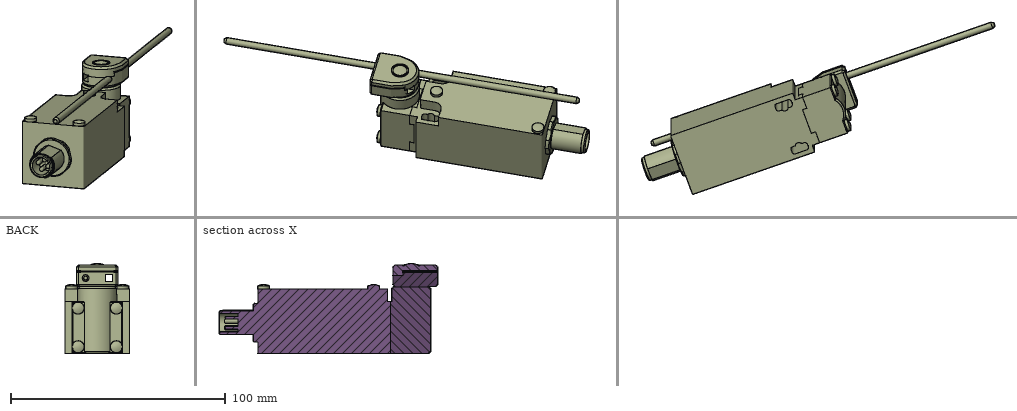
import cadquery as cq
import math


OVERALL_LENGTH = 175.1

HOUSING_WIDTH = 30.3
HOUSING_LENGTH = 60.5
HOUSING_HEIGHT = 30.1
HOUSING_EDGE_FILLET = 0.44
SHOULDER_HEIGHT = 24.3
NECK_WIDTH = 23.5
NECK_END = 64.3
TONGUE_WIDTH = 12.0
TONGUE_CORNER_RADIUS = 0.9
EAR_FRONT = 49.7
EAR_CORNER_RADIUS = 3.9

SLOT_X = 11.0
SLOT_Y = 54.6
SLOT_WIDTH = 3.7
SLOT_LENGTH = 8.0
SLOT_CORNER_RADIUS = 1.2
SLOT_LOBE_RADIUS = 1.8
SLOT_LOBE_X = 10.0

SCREW_RADIUS = 2.8
SCREW_RIM_HEIGHT = 1.4
SCREW_DOME_HEIGHT = 0.7
COVER_SCREW_X = 11.9
COVER_SCREW_FRONT_Y = 2.8
COVER_SCREW_REAR_Y = 54.1
HEAD_SCREW_X = 9.0
HEAD_SCREW_EDGE = 3.2

CONNECTOR_Z = 14.4
CONNECTOR_LENGTH = 18.0
CONNECTOR_TURN = 13
NUT_THICKNESS = 2.1
NUT_SIDES = 6
NUT_CORNER_ANGLE = 360 / NUT_SIDES
NUT_FLATS = 17.5
NUT_CORNER_RADIUS = 9.1
NUT_CHAMFER = 0.5
BARREL_RADIUS = 6.1
BARREL_LENGTH = 16.3
BARREL_FLATS = 10.5
TIP_RADIUS = 5.6
TIP_CHAMFER = 0.5
SOCKET_RADIUS = 4.2
SOCKET_DEPTH = 8.8
PIN_RADIUS = 1.0
PIN_ROUNDING = 0.7
PIN_LENGTH = 6.1
PIN_CIRCLE_RADIUS = 2.5
PIN_COUNT = 4

HEAD_BACK = 78.5
HEAD_BACK_CHAMFER = 0.5
AXIS_Y = 71.6
TURRET_RADIUS = 9.1
TURRET_TOP = 31.2
TURRET_CHAMFER = 0.9
KEY_DEPTH = 2.1
SIDE_KEY_BOTTOM = 6.1
SIDE_KEY_TOP = 18.4

CLAMP_WIDTH = 19.5
CLAMP_HALF_WIDTH = CLAMP_WIDTH / 2
CLAMP_BACK = 84
CLAMP_FLANK_END = 73.5
CLAMP_NOSE_RADIUS = 8.8
CLAMP_TOP = 41.3
CLAMP_CHAMFER = 1.0
BASE_TOP = 38.0
LID_BOTTOM = 38.5
LIP_BOTTOM = 36.5
LIP_BACK = 67.6
LID_DOME_RADIUS = 3.3
LID_DOME_HEIGHT = 0.7
LID_RING_RADIUS = 4.0
LID_RING_DEPTH = 0.4

ROD_X = 5.5
ROD_Z = 35.2
ROD_RADIUS = 1.5
ROD_FRONT = -13.0
ROD_BACK = OVERALL_LENGTH - CONNECTOR_LENGTH
ROD_TIP_LENGTH = 1.2
ROD_TIP_INSET = 0.7


def box(x, y, z):
    """Box spanning the given (low, high) pairs."""
    block = cq.Workplane("XY").box(x[1] - x[0], y[1] - y[0], z[1] - z[0], centered=False)
    return block.translate((x[0], y[0], z[0]))


def centred(width):
    """Span of the given width, centred on zero."""
    return (-width / 2, width / 2)


def dome(radius, height):
    """Spherical cap standing on Z = 0."""
    sphere_radius = (radius**2 + height**2) / (2 * height)
    half_angle = math.asin(radius / sphere_radius) / 2
    centre_depth = sphere_radius - height
    arc_middle = (sphere_radius * math.sin(half_angle), sphere_radius * math.cos(half_angle) - centre_depth)
    profile = cq.Workplane("XZ").lineTo(radius, 0).threePointArc(arc_middle, (0, height)).close()
    return profile.revolve(360, (0, 0, 0), (0, 1, 0))


def screw_head():
    """Domed screw head standing on Z = 0."""
    rim = cq.Workplane("XY").circle(SCREW_RADIUS).extrude(SCREW_RIM_HEIGHT)
    return rim.union(dome(SCREW_RADIUS, SCREW_DOME_HEIGHT).translate((0, 0, SCREW_RIM_HEIGHT)))


def rod_shape(front, back):
    """Round bar along Y on the rod's axis."""
    return cq.Workplane("XZ", origin=(ROD_X, front, ROD_Z)).circle(ROD_RADIUS).extrude(front - back)


def head_key():
    """Cross-shaped key of the head that fits into the housing's neck."""
    reach = (NECK_END - KEY_DEPTH, NECK_END)
    upright = box(centred(TONGUE_WIDTH), reach, (0, SHOULDER_HEIGHT))
    crossbar = box(centred(NECK_WIDTH), reach, (SIDE_KEY_BOTTOM, SIDE_KEY_TOP))
    return upright.union(crossbar)


def ear_notch():
    """Space above the left ear, with a round inner corner."""
    notch = box(
        (-HOUSING_WIDTH, -TONGUE_WIDTH / 2),
        (EAR_FRONT, NECK_END),
        (SHOULDER_HEIGHT, HOUSING_HEIGHT),
    )
    return notch.edges("|Z and >X and <Y").fillet(EAR_CORNER_RADIUS)


def ear_slot():
    """Upright slot through the left ear, with a round lobe on its inner side."""
    slot = cq.Workplane("XY").center(-SLOT_X, SLOT_Y).rect(SLOT_WIDTH, SLOT_LENGTH).extrude(SHOULDER_HEIGHT)
    slot = slot.edges("|Z").fillet(SLOT_CORNER_RADIUS)
    lobe = cq.Workplane("XY").center(-SLOT_LOBE_X, SLOT_Y).circle(SLOT_LOBE_RADIUS).extrude(SHOULDER_HEIGHT)
    return slot.union(lobe)


def make_connector():
    """Connector pointing up from Z = 0: nut, barrel with two flats, tip, socket and pins."""
    nut = cq.Workplane("XY").polygon(NUT_SIDES, NUT_FLATS, circumscribed=True).extrude(NUT_THICKNESS)
    nut_rim = cq.Workplane("XY").circle(NUT_CORNER_RADIUS).extrude(NUT_THICKNESS)
    nut = nut.intersect(nut_rim.faces(">Z").chamfer(NUT_CHAMFER))

    barrel = cq.Workplane("XY").circle(BARREL_RADIUS).extrude(BARREL_LENGTH)
    flats = cq.Workplane("XY").rect(BARREL_FLATS, 2 * BARREL_RADIUS).extrude(BARREL_LENGTH)
    barrel = barrel.intersect(flats.rotate((0, 0, 0), (0, 0, 1), NUT_CORNER_ANGLE))

    tip_length = CONNECTOR_LENGTH - BARREL_LENGTH
    tip = cq.Workplane("XY", origin=(0, 0, BARREL_LENGTH)).circle(TIP_RADIUS).extrude(tip_length)
    tip = tip.faces(">Z").chamfer(TIP_CHAMFER)

    socket_floor = CONNECTOR_LENGTH - SOCKET_DEPTH
    socket = cq.Workplane("XY", origin=(0, 0, socket_floor)).circle(SOCKET_RADIUS).extrude(SOCKET_DEPTH)
    pins = (
        cq.Workplane("XY", origin=(0, 0, socket_floor))
        .polarArray(PIN_CIRCLE_RADIUS, NUT_CORNER_ANGLE, 360, PIN_COUNT)
        .circle(PIN_RADIUS)
        .extrude(PIN_LENGTH)
        .faces(">Z")
        .fillet(PIN_ROUNDING)
    )
    return nut.union(barrel).union(tip).cut(socket).union(pins)


def make_housing():
    main = box(centred(HOUSING_WIDTH), (0, HOUSING_LENGTH), (0, HOUSING_HEIGHT))
    main = main.edges("|Z").fillet(HOUSING_EDGE_FILLET)
    notch = ear_notch().union(ear_slot())
    main = main.cut(notch).cut(notch.mirror("YZ"))
    tongue_corners = cq.selectors.BoxSelector(
        (-TONGUE_WIDTH, NECK_END, SHOULDER_HEIGHT),
        (TONGUE_WIDTH, HOUSING_LENGTH - TONGUE_CORNER_RADIUS, HOUSING_HEIGHT),
    )
    main = main.edges("|Z").edges(tongue_corners).fillet(TONGUE_CORNER_RADIUS)
    neck = box(centred(NECK_WIDTH), (HOUSING_LENGTH, NECK_END), (0, SHOULDER_HEIGHT))
    body = main.union(neck).cut(head_key())
    for x, y in (
        (-COVER_SCREW_X, COVER_SCREW_FRONT_Y),
        (COVER_SCREW_X, COVER_SCREW_FRONT_Y),
        (0, COVER_SCREW_REAR_Y),
    ):
        body = body.union(screw_head().translate((x, y, HOUSING_HEIGHT)))
    connector = make_connector().rotate((0, 0, 0), (0, 0, 1), CONNECTOR_TURN)
    connector = connector.rotate((0, 0, 0), (1, 0, 0), 90)
    return body.union(connector.translate((0, 0, CONNECTOR_Z)))


def make_head():
    block = box(centred(NECK_WIDTH), (NECK_END, HEAD_BACK), (0, SHOULDER_HEIGHT))
    block = block.faces(">Y").chamfer(HEAD_BACK_CHAMFER)
    turret = cq.Workplane("XY").center(0, AXIS_Y).circle(TURRET_RADIUS).extrude(TURRET_TOP)
    turret = turret.faces("<Z or >Z").chamfer(TURRET_CHAMFER)
    head = block.union(turret).union(head_key())
    back_screw = screw_head().rotate((0, 0, 0), (1, 0, 0), -90)
    for x in (-HEAD_SCREW_X, HEAD_SCREW_X):
        for z in (HEAD_SCREW_EDGE, SHOULDER_HEIGHT - HEAD_SCREW_EDGE):
            head = head.union(back_screw.translate((x, HEAD_BACK, z)))
    return head


def clamp_blank():
    """Full clamp outline: straight back and flanks, tangent lines running into a round nose."""
    flank_rise = CLAMP_FLANK_END - AXIS_Y
    corner_distance = math.hypot(CLAMP_HALF_WIDTH, flank_rise)
    tangent_angle = math.atan2(flank_rise, CLAMP_HALF_WIDTH) - math.acos(CLAMP_NOSE_RADIUS / corner_distance)
    tangent_x = CLAMP_NOSE_RADIUS * math.cos(tangent_angle)
    tangent_y = AXIS_Y + CLAMP_NOSE_RADIUS * math.sin(tangent_angle)
    blank = (
        cq.Workplane("XY", origin=(0, 0, TURRET_TOP))
        .moveTo(-CLAMP_HALF_WIDTH, CLAMP_BACK)
        .lineTo(-CLAMP_HALF_WIDTH, CLAMP_FLANK_END)
        .lineTo(-tangent_x, tangent_y)
        .threePointArc((0, AXIS_Y - CLAMP_NOSE_RADIUS), (tangent_x, tangent_y))
        .lineTo(CLAMP_HALF_WIDTH, CLAMP_FLANK_END)
        .lineTo(CLAMP_HALF_WIDTH, CLAMP_BACK)
        .close()
        .extrude(CLAMP_TOP - TURRET_TOP)
    )
    blank = blank.edges("|Z and >Y").chamfer(CLAMP_CHAMFER)
    return blank.faces("<Z or >Z").chamfer(CLAMP_CHAMFER)


def clamp_channels():
    """Round channel for the rod and a square one at the same distance on the other side."""
    reach = (AXIS_Y - 2 * CLAMP_NOSE_RADIUS, CLAMP_BACK)
    square = box(
        (-ROD_X - ROD_RADIUS, -ROD_X + ROD_RADIUS), reach, (ROD_Z - ROD_RADIUS, ROD_Z + ROD_RADIUS)
    )
    return square.union(rod_shape(*reach))


def make_clamp_base():
    span = centred(CLAMP_WIDTH)
    below_lip = box(span, (0, LIP_BACK), (0, LIP_BOTTOM))
    behind_lip = box(span, (LIP_BACK, CLAMP_BACK), (0, BASE_TOP))
    return clamp_blank().intersect(below_lip.union(behind_lip)).cut(clamp_channels())


def make_clamp_lid():
    span = centred(CLAMP_WIDTH)
    lip = box(span, (0, LIP_BACK), (LIP_BOTTOM, CLAMP_TOP))
    plate = box(span, (LIP_BACK, CLAMP_BACK), (LID_BOTTOM, CLAMP_TOP))
    lid = clamp_blank().intersect(lip.union(plate)).cut(clamp_channels())
    ring_floor = CLAMP_TOP - LID_RING_DEPTH
    ring = (
        cq.Workplane("XY", origin=(0, AXIS_Y, ring_floor))
        .circle(LID_RING_RADIUS)
        .circle(LID_DOME_RADIUS)
        .extrude(LID_RING_DEPTH)
    )
    return lid.cut(ring).union(dome(LID_DOME_RADIUS, LID_DOME_HEIGHT).translate((0, AXIS_Y, CLAMP_TOP)))


def make_rod():
    rod = rod_shape(ROD_FRONT, ROD_BACK)
    return rod.faces("<Y or >Y").chamfer(ROD_TIP_LENGTH, ROD_TIP_INSET)


housing = make_housing()
head = make_head()
clamp_base = make_clamp_base()
clamp_lid = make_clamp_lid()
rod = make_rod()

result = cq.Compound.makeCompound(
    [housing.val(), head.val(), clamp_base.val(), clamp_lid.val(), rod.val()]
)